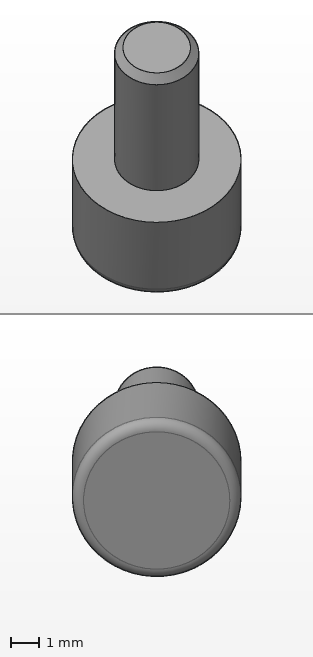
import cadquery as cq

total_length = 10.0
head_diameter = 6.0
head_height = 4.0
head_edge_radius = 0.4
shank_diameter = 3.0
tip_chamfer = 0.3
shank_length = total_length - head_height


def make_head():
    """Cylindrical head with a rounded lower rim, resting on Z = 0."""
    head = cq.Workplane("XY").circle(head_diameter / 2).extrude(head_height)
    return head.faces("<Z").edges().fillet(head_edge_radius)


def make_shank():
    """Plain shank rising from the head, chamfered at its free end."""
    shank = cq.Workplane("XY").workplane(offset=head_height)
    shank = shank.circle(shank_diameter / 2).extrude(shank_length)
    return shank.faces(">Z").edges().chamfer(tip_chamfer)


result = make_head().union(make_shank())